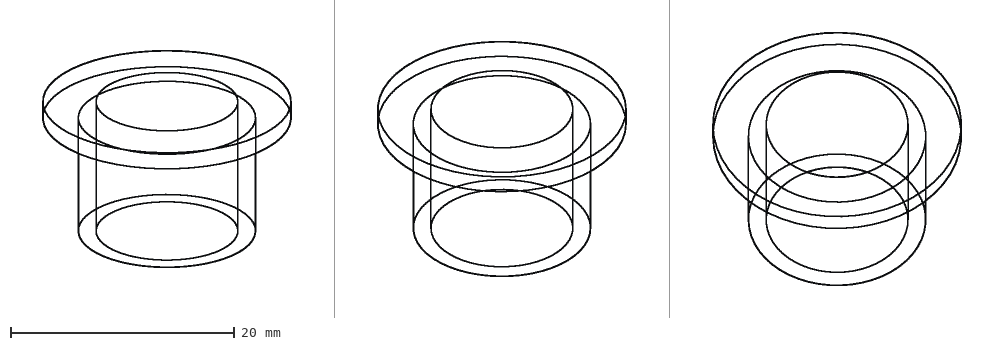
import cadquery as cq

flange_diameter = 22.23
flange_thickness = 1.58
sleeve_diameter = 15.87
bore_diameter = 12.7
total_height = 12.7

sleeve_length = total_height - flange_thickness

sleeve = cq.Workplane("XY").circle(sleeve_diameter / 2).extrude(sleeve_length)

flanged_sleeve = sleeve.faces(">Z").workplane().circle(flange_diameter / 2).extrude(flange_thickness)

result = flanged_sleeve.faces(">Z").workplane().hole(bore_diameter)